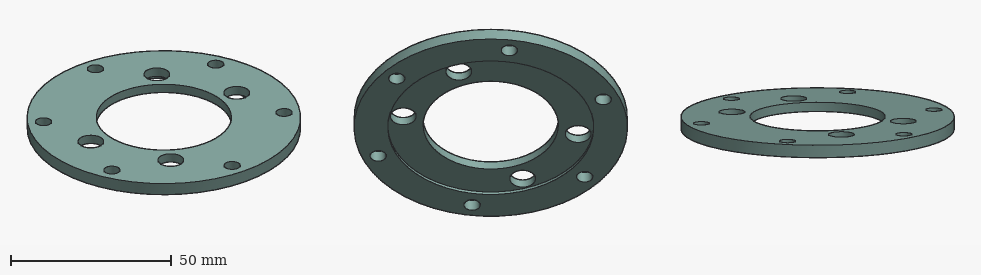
import cadquery as cq

outer_diameter = 85.0
bore_diameter = 42.0
thickness = 4.0

rim_hole_count = 6
rim_hole_diameter = 5.0
rim_circle_diameter = 75.0
rim_start_angle = 90

inner_hole_diameter = 8.0
inner_circle_diameter = 55.0
inner_hole_angles = (60, 120, 240, 300)

recess_diameter = 64.0
recess_depth = 1.0

plate = (
    cq.Workplane("XY")
    .circle(outer_diameter / 2)
    .circle(bore_diameter / 2)
    .extrude(thickness)
)


def hole_cutters(angles, circle_diameter, hole_diameter):
    """Return full-thickness cylinders at the given angles on a circle about the Z axis."""
    cutters = cq.Workplane("XY")
    for angle in angles:
        cutters = cutters.add(
            cq.Workplane("XY")
            .center(circle_diameter / 2, 0)
            .circle(hole_diameter / 2)
            .extrude(thickness)
            .rotate((0, 0, 0), (0, 0, 1), angle)
        )
    return cutters.combine()


rim_hole_angles = [rim_start_angle + i * 360 / rim_hole_count for i in range(rim_hole_count)]
rim_holes = hole_cutters(rim_hole_angles, rim_circle_diameter, rim_hole_diameter)
inner_holes = hole_cutters(inner_hole_angles, inner_circle_diameter, inner_hole_diameter)

recess = cq.Workplane("XY").circle(recess_diameter / 2).extrude(recess_depth)

result = plate.cut(recess).cut(rim_holes).cut(inner_holes)